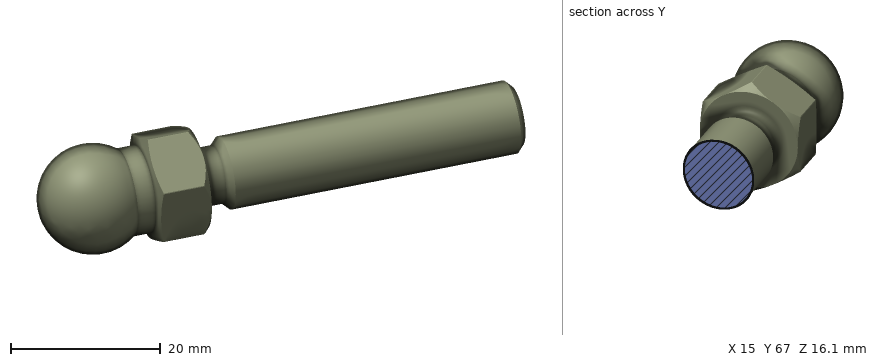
import cadquery as cq
import math

ball_radius = 7.5
collar_radius = 6.0
collar_start = math.sqrt(ball_radius**2 - collar_radius**2)

hex_sides = 6
hex_across_flats = 14.0
hex_corner_radius = hex_across_flats / math.sqrt(3)
hex_turned_diameter = 16.1
hex_turned_radius = hex_turned_diameter / 2
hex_start = 7.0
hex_end = 14.5
hex_front_chamfer_angle = 20.0
hex_back_chamfer_angle = 45.0

relief_radius = 4.0
relief_end = 17.5
relief_fillet = 0.9

shank_radius = 5.0
shank_end = 59.5
shank_tip_chamfer = 0.9
shank_root_chamfer = shank_radius - relief_radius


def ball_and_collar():
    """Ball with the cylindrical collar that carries it, ending at the hexagon."""
    half_profile = (
        cq.Workplane("XY")
        .moveTo(0, -ball_radius)
        .threePointArc((ball_radius, 0), (collar_radius, collar_start))
        .lineTo(collar_radius, hex_start)
        .lineTo(0, hex_start)
        .close()
    )
    return half_profile.revolve(360, (0, 0), (0, 1))


def hexagon():
    """Hexagonal prism with corners along Z, its corners turned down and each end coned."""
    corners = []
    for side in range(hex_sides):
        angle = math.pi / 2 + side * math.tau / hex_sides
        corners.append((hex_corner_radius * math.cos(angle), hex_corner_radius * math.sin(angle)))
    prism = (
        cq.Workplane("XZ", origin=(0, hex_start, 0))
        .polyline(corners)
        .close()
        .extrude(hex_start - hex_end)
    )

    front_face_radius = collar_radius
    back_face_radius = hex_across_flats / 2
    front_slope = math.tan(math.radians(hex_front_chamfer_angle))
    back_slope = math.tan(math.radians(hex_back_chamfer_angle))
    front_chamfer = (hex_turned_radius - front_face_radius) * front_slope
    back_chamfer = (hex_turned_radius - back_face_radius) * back_slope
    envelope = (
        cq.Workplane("XY")
        .polyline([
            (0, hex_start),
            (front_face_radius, hex_start),
            (hex_turned_radius, hex_start + front_chamfer),
            (hex_turned_radius, hex_end - back_chamfer),
            (back_face_radius, hex_end),
            (0, hex_end),
        ])
        .close()
        .revolve(360, (0, 0), (0, 1))
    )
    return prism.intersect(envelope)


def relief_and_shank():
    """Filleted relief groove and the plain shank, chamfered at both ends."""
    fillet_centre_radius = relief_radius + relief_fillet
    fillet_centre_y = hex_end + relief_fillet
    fillet_offset = relief_fillet * math.sqrt(0.5)
    half_profile = (
        cq.Workplane("XY")
        .moveTo(0, hex_end)
        .lineTo(fillet_centre_radius, hex_end)
        .threePointArc(
            (fillet_centre_radius - fillet_offset, fillet_centre_y - fillet_offset),
            (relief_radius, fillet_centre_y),
        )
        .lineTo(relief_radius, relief_end)
        .lineTo(shank_radius, relief_end + shank_root_chamfer)
        .lineTo(shank_radius, shank_end - shank_tip_chamfer)
        .lineTo(shank_radius - shank_tip_chamfer, shank_end)
        .lineTo(0, shank_end)
        .close()
    )
    return half_profile.revolve(360, (0, 0), (0, 1))


result = ball_and_collar().union(hexagon()).union(relief_and_shank())